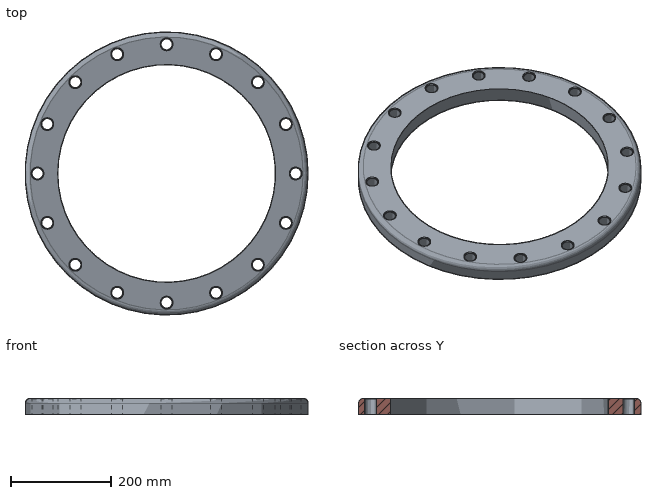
import cadquery as cq

outer_diameter = 565.0
bore_diameter = 434.0
thickness = 33.0
edge_radius = 10.0

bolt_count = 16
bolt_circle_diameter = 515.0
bolt_hole_diameter = 22.0
bolt_hole_chamfer = 1.5
countersink_angle = 90


def ring_blank():
    """Flat ring resting on Z = 0, with its upper outer edge rounded."""
    disc = cq.Workplane("XY").circle(outer_diameter / 2).extrude(thickness)
    rounded_disc = disc.faces(">Z").edges().fillet(edge_radius)
    return rounded_disc.faces(">Z").workplane().hole(bore_diameter)


def drill_bolt_holes(ring):
    """Drill evenly spaced through holes with chamfered mouths on the top face."""
    return (
        ring.faces(">Z")
        .workplane(origin=(0, 0, thickness))
        .polarArray(bolt_circle_diameter / 2, 0, 360, bolt_count)
        .cskHole(bolt_hole_diameter, bolt_hole_diameter + 2 * bolt_hole_chamfer, countersink_angle)
    )


result = drill_bolt_holes(ring_blank())